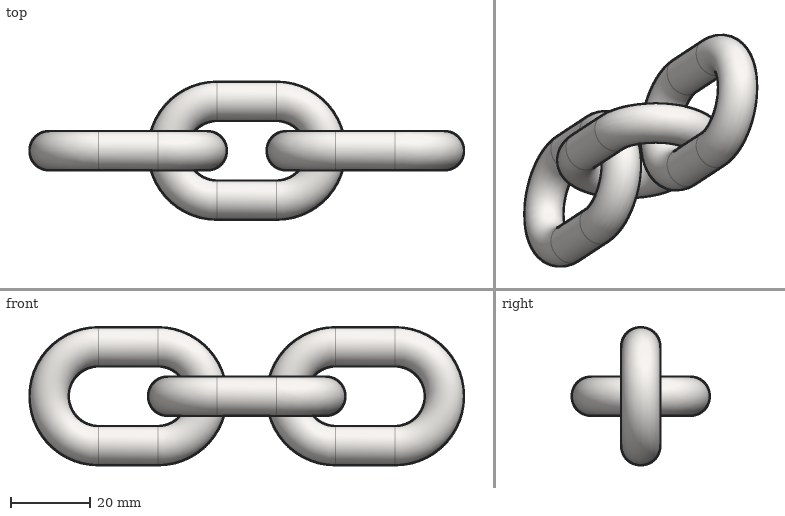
import cadquery as cq

wire_diameter = 10.0
link_width = 35.0
straight_length = 15.0
link_count = 3

bend_radius = (link_width - wire_diameter) / 2
link_length = straight_length + link_width
pitch = link_length - 2 * wire_diameter
half_straight = straight_length / 2
bend_end = half_straight + bend_radius


def make_link():
    """One oval link of round wire, centred on the origin, long in X and lying in the XY plane."""
    centreline = (
        cq.Workplane("XY")
        .moveTo(-half_straight, bend_radius)
        .lineTo(half_straight, bend_radius)
        .threePointArc((bend_end, 0), (half_straight, -bend_radius))
        .lineTo(-half_straight, -bend_radius)
        .threePointArc((-bend_end, 0), (-half_straight, bend_radius))
        .close()
    )
    wire_section = cq.Workplane("YZ", origin=(-half_straight, bend_radius, 0)).circle(wire_diameter / 2)
    return wire_section.sweep(centreline)


links = []
for index in range(link_count):
    is_upright = index % 2 == 0
    link = make_link()
    if is_upright:
        link = link.rotate((0, 0, 0), (1, 0, 0), 90)
    offset = (index - (link_count - 1) / 2) * pitch
    links.append(link.translate((offset, 0, 0)))

result = cq.Compound.makeCompound([link.val() for link in links])